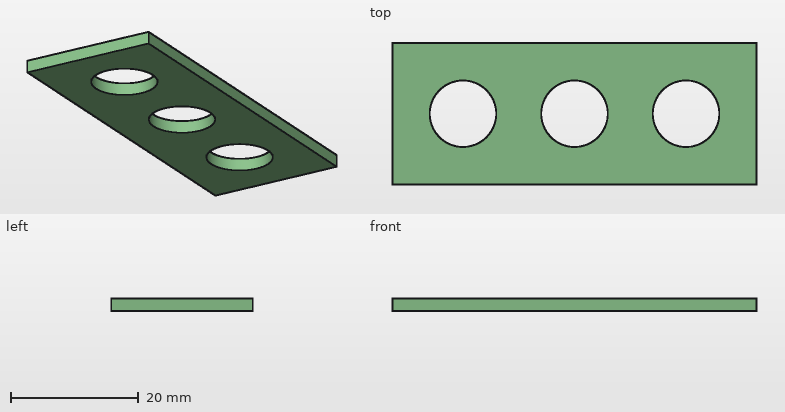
import cadquery as cq

length = 57.15
width = 22.25
thickness = 2.0

hole_count = 3
hole_diameter = 10.4
hole_spacing = 17.5

plate = cq.Workplane("XY").box(length, width, thickness)

result = (
    plate.faces(">Z")
    .workplane()
    .rarray(hole_spacing, width, hole_count, 1)
    .hole(hole_diameter)
)